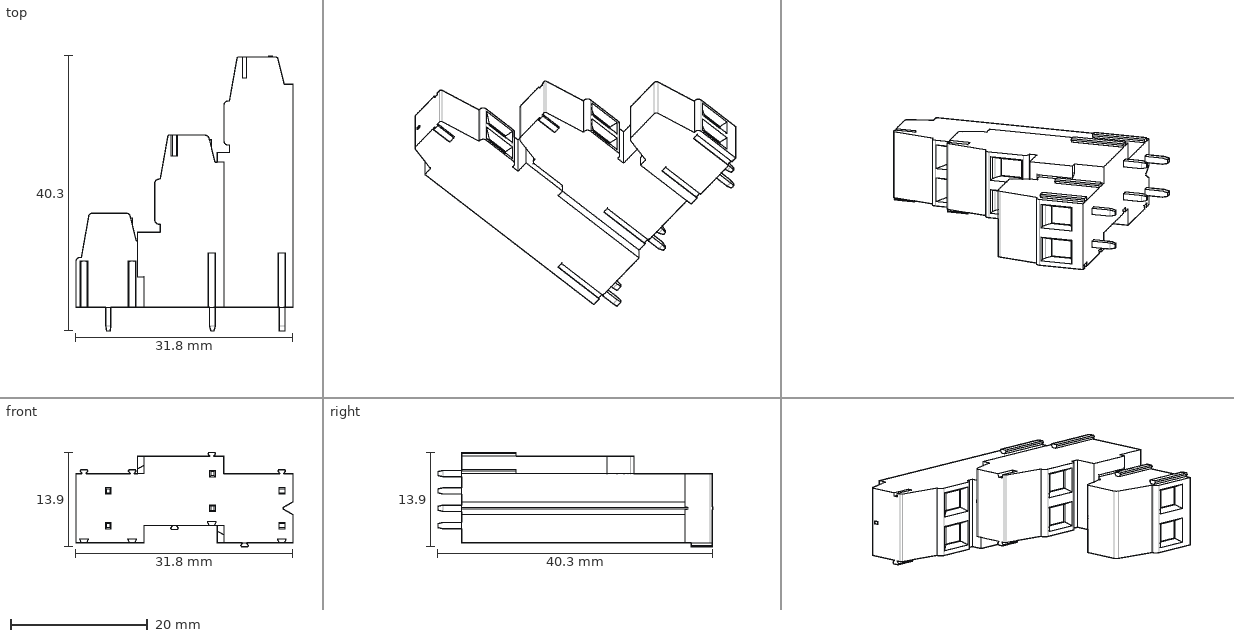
import cadquery as cq


POLE_PITCH = 5.08
BODY_HEIGHT = 2 * POLE_PITCH
TIER_RISE = POLE_PITCH / 2
PART_WIDTH = 31.8
TIER_WIDTH = 10.13
FIRST_RIGHT = 10.0

SHOULDER_INSET = 0.8
SHOULDER_DROP = 6.45
SHOULDER_RADIUS = 0.65
HEAD_LEFT = 1.95
HEAD_RIGHT = 7.85
BACK_INSET = 8.85
BACK_DROP = 4.0

TAB_REACH = 1.0
UNDERCUT_SLOPE_RISE = 0.58

FUNNEL_DEPTH = 1.05
FUNNEL_HEIGHT = 3.65
FUNNEL_INSET = 0.48
FUNNEL_LOW_INSET = 0.45
RECESS_DEPTH = 0.25
STEPPED_ENTRY = [(0.35, 0.13), (0.65, 0.49), (FUNNEL_DEPTH, 1.25)]
STRAIGHT_ENTRY = [(FUNNEL_DEPTH, 1.43)]

RIB_HEIGHT = 0.575
RIB_CREST_WIDTH = 0.9
RIB_WIDTH = 1.15
RIB_NECK_WIDTH = 0.6
RIB_CREST_DROP = 0.2
GROOVE_MOUTH_WIDTH = 0.75
GROOVE_FLOOR_WIDTH = 1.3
KEY_LENGTH = 3.1
SLOT_DEPTH = 0.5
SLOT_WIDTH = 0.6

PIN_LENGTH = 3.48
PIN_TIP_LENGTH = 0.75
PIN_HEIGHT = 0.95
PIN_TIP_HEIGHT = 0.6
PIN_ROOT = 1.0

NOTCH_DEPTH = 1.4
NOTCH_MOUTH = 1.85
NOTCH_FLOOR = 0.25

MARK_HEIGHT = 0.4
TOP_MARK_WIDTH = 0.6
TOP_MARK_RISE = 0.12
TOP_MARK_OFFSET = 6.85
SIDE_MARK_LENGTH = 1.4
SIDE_MARK_DROP = 0.7
SIDE_MARK_REACH = 8.33
SIDE_MARK_ROOT = 7.8

THIRD_WALL = PART_WIDTH - TIER_WIDTH
SECOND_WALL = THIRD_WALL - TIER_WIDTH

FIRST = dict(
    wall=0.0, left=0.0, right=FIRST_RIGHT, top=13.8, bottom=0.0, tab=None,
    corner_radii=(0.5, 0.5),
    funnel_top=6.44, funnel_low=1.72, funnel_entry=STEPPED_ENTRY,
    ribs=[1.2, 8.25], rib_length=6.8,
    pin_x=4.76, pin_width=0.76, pin_tip_width=0.55,
)
SECOND = dict(
    wall=SECOND_WALL, left=FIRST_RIGHT, right=THIRD_WALL, top=25.26, bottom=TIER_RISE,
    tab=dict(start=4.48, undercut_end=9.98, top=11.04, lip=12.17, clearance=0.65),
    corner_radii=(0.25, 0.7),
    funnel_top=17.87, funnel_low=12.99, funnel_entry=STEPPED_ENTRY,
    ribs=[19.9], rib_length=8.0, key_offset=2.9, slot_mouth=0.95,
    pin_x=20.0, pin_width=0.88, pin_tip_width=0.45,
)
THIRD = dict(
    wall=THIRD_WALL, left=THIRD_WALL, right=PART_WIDTH, top=36.7, bottom=0.0,
    tab=dict(start=15.65, undercut_end=21.3, top=22.72, lip=23.75, clearance=0.77),
    corner_radii=(0.3, 0.4),
    funnel_top=29.5, funnel_low=24.47, funnel_entry=STRAIGHT_ENTRY,
    ribs=[30.15], rib_length=8.0, key_offset=3.03, slot_mouth=SLOT_WIDTH,
    pin_x=30.2, pin_width=0.9, pin_tip_width=0.9,
)
TIERS = [FIRST, SECOND, THIRD]


def box(x0, x1, y0, y1, z0, z1):
    return cq.Workplane("XY").box(x1 - x0, y1 - y0, z1 - z0, centered=False).translate((x0, y0, z0))


def prism_along_y(points, y0, y1):
    """Extrude an XZ outline from y0 up to y1."""
    return cq.Workplane("XZ", origin=(0, y0, 0)).polyline(points).close().extrude(y0 - y1)


def pole_heights(tier):
    return [tier["bottom"] + POLE_PITCH * (pole + 0.5) for pole in range(2)]


def tier_block(tier):
    wall, top, tab = tier["wall"], tier["top"], tier["tab"]
    shoulder = top - SHOULDER_DROP
    radius = SHOULDER_RADIUS
    outline = cq.Workplane("XY", origin=(0, 0, tier["bottom"])).moveTo(tier["left"], 0)
    if tab:
        tab_left = tier["left"] - TAB_REACH
        outline = (
            outline.lineTo(tier["left"], tab["start"])
            .lineTo(tab_left, tab["start"])
            .lineTo(tab_left, tab["top"])
            .lineTo(wall + SHOULDER_INSET, tab["top"])
            .lineTo(wall + SHOULDER_INSET, tab["lip"])
            .lineTo(wall + radius, tab["lip"])
            .radiusArc((wall, tab["lip"] + radius), radius)
        )
    block = (
        outline.lineTo(wall, shoulder - radius)
        .radiusArc((wall + radius, shoulder), radius)
        .lineTo(wall + SHOULDER_INSET, shoulder)
        .lineTo(wall + HEAD_LEFT, top)
        .lineTo(wall + HEAD_RIGHT, top)
        .lineTo(wall + BACK_INSET, top - BACK_DROP)
        .lineTo(tier["right"], top - BACK_DROP)
        .lineTo(tier["right"], 0)
        .close()
        .extrude(BODY_HEIGHT)
    )
    middle = tier["bottom"] + BODY_HEIGHT / 2
    for offset, corner_radius in zip((HEAD_LEFT, HEAD_RIGHT), tier["corner_radii"]):
        corner = cq.selectors.NearestToPointSelector((wall + offset, top, middle))
        block = block.edges(corner).fillet(corner_radius)
    return block


def tab_undercut(tier, face, direction):
    """Sloped clearance in the tab; direction is +1 above the neighbour's face, -1 below it."""
    tab = tier["tab"]
    inner = tier["left"]
    outer = inner - TAB_REACH
    outer_ceiling = face + direction * tab["clearance"]
    section = [
        (outer, face),
        (inner, face),
        (inner, outer_ceiling + direction * UNDERCUT_SLOPE_RISE),
        (outer, outer_ceiling),
    ]
    return prism_along_y(section, tab["start"], tab["undercut_end"])


def wire_funnel(tier, z):
    """Tapered wire entry with a shallow straight recess in its floor."""
    wall, upper, lower = tier["wall"], tier["funnel_top"], tier["funnel_low"]
    floor_x = wall + FUNNEL_DEPTH
    floor_low = lower + FUNNEL_LOW_INSET
    entry = [(wall + depth, upper - distance) for depth, distance in tier["funnel_entry"]]
    floor_top = entry[-1][1]
    profile = [(wall, lower), (wall, upper)] + entry + [(floor_x, floor_low)]
    side_cut = (
        cq.Workplane("XY", origin=(0, 0, z - FUNNEL_HEIGHT / 2))
        .polyline(profile).close().extrude(FUNNEL_HEIGHT)
    )
    mouth_half = FUNNEL_HEIGHT / 2
    floor_half = mouth_half - FUNNEL_INSET
    taper = prism_along_y(
        [
            (wall, z - mouth_half),
            (floor_x, z - floor_half),
            (floor_x, z + floor_half),
            (wall, z + mouth_half),
        ],
        lower,
        upper,
    )
    recess = box(floor_x, floor_x + RECESS_DEPTH, floor_low, floor_top, z - floor_half, z + floor_half)
    return side_cut.intersect(taper).union(recess)


def dovetail_rib(x, face, direction, y0, y1):
    """Rib standing on a Z face; direction is +1 upward or -1 downward."""
    levels = [
        (RIB_NECK_WIDTH, 0),
        (RIB_WIDTH, RIB_HEIGHT - RIB_CREST_DROP),
        (RIB_CREST_WIDTH, RIB_HEIGHT),
    ]
    right = [(x + width / 2, face + direction * rise) for width, rise in levels]
    left = [(x - width / 2, face + direction * rise) for width, rise in reversed(levels)]
    return prism_along_y(right + left, y0, y1)


def trapezoid_cut(x, face, direction, mouth, floor, depth, y0, y1):
    section = [
        (x - mouth / 2, face),
        (x + mouth / 2, face),
        (x + floor / 2, face + direction * depth),
        (x - floor / 2, face + direction * depth),
    ]
    return prism_along_y(section, y0, y1)


def pin(tier, z):
    x = tier["pin_x"]
    shank_end = PIN_TIP_LENGTH - PIN_LENGTH
    shank = (
        cq.Workplane("XZ", origin=(x, PIN_ROOT, z))
        .rect(tier["pin_width"], PIN_HEIGHT).extrude(PIN_ROOT - shank_end)
    )
    tip = (
        cq.Workplane("XZ", origin=(x, shank_end, z))
        .rect(tier["pin_width"], PIN_HEIGHT)
        .workplane(offset=PIN_TIP_LENGTH)
        .rect(tier["pin_tip_width"], PIN_TIP_HEIGHT)
        .loft()
    )
    return shank.union(tip)


def side_notch():
    middle = BODY_HEIGHT / 2
    floor_x = PART_WIDTH - NOTCH_DEPTH
    section = [
        (PART_WIDTH, middle - NOTCH_MOUTH / 2),
        (PART_WIDTH, middle + NOTCH_MOUTH / 2),
        (floor_x, middle + NOTCH_FLOOR / 2),
        (floor_x, middle - NOTCH_FLOOR / 2),
    ]
    return prism_along_y(section, 0, THIRD["top"])


def side_mark(tier):
    """Small pad on the sloping back of a head."""
    wall = tier["wall"]
    y1 = tier["top"] - SIDE_MARK_DROP
    middle = tier["bottom"] + BODY_HEIGHT / 2
    return box(
        wall + SIDE_MARK_ROOT, wall + SIDE_MARK_REACH,
        y1 - SIDE_MARK_LENGTH, y1,
        middle - MARK_HEIGHT / 2, middle + MARK_HEIGHT / 2,
    )


def top_mark(tier):
    """Small pad on the flat end of a head."""
    x = tier["wall"] + TOP_MARK_OFFSET
    middle = tier["bottom"] + BODY_HEIGHT / 2
    return box(
        x - TOP_MARK_WIDTH / 2, x + TOP_MARK_WIDTH / 2,
        tier["top"] - TOP_MARK_RISE, tier["top"] + TOP_MARK_RISE,
        middle - MARK_HEIGHT / 2, middle + MARK_HEIGHT / 2,
    )


second_block = tier_block(SECOND).cut(tab_undercut(SECOND, FIRST["bottom"] + BODY_HEIGHT, 1))
third_block = tier_block(THIRD).cut(tab_undercut(THIRD, SECOND["bottom"], -1))
result = tier_block(FIRST).union(second_block).union(third_block)
result = result.cut(side_notch())

for tier in TIERS:
    tier_top_face = tier["bottom"] + BODY_HEIGHT
    for pole_z in pole_heights(tier):
        result = result.cut(wire_funnel(tier, pole_z)).union(pin(tier, pole_z))
    for rib_x in tier["ribs"]:
        result = result.union(dovetail_rib(rib_x, tier_top_face, 1, 0, tier["rib_length"]))
        result = result.cut(trapezoid_cut(
            rib_x, tier["bottom"], 1, GROOVE_MOUTH_WIDTH, GROOVE_FLOOR_WIDTH, RIB_HEIGHT,
            0, tier["rib_length"],
        ))

for tier in (SECOND, THIRD):
    key_x = tier["wall"] + tier["key_offset"]
    key_start = tier["top"] - KEY_LENGTH
    result = result.union(dovetail_rib(key_x, tier["bottom"], -1, key_start, tier["top"]))
    result = result.cut(trapezoid_cut(
        key_x, tier["bottom"] + BODY_HEIGHT, -1, tier["slot_mouth"], SLOT_WIDTH, SLOT_DEPTH,
        key_start, tier["top"],
    ))

result = result.union(side_mark(FIRST)).union(side_mark(SECOND)).union(top_mark(THIRD))